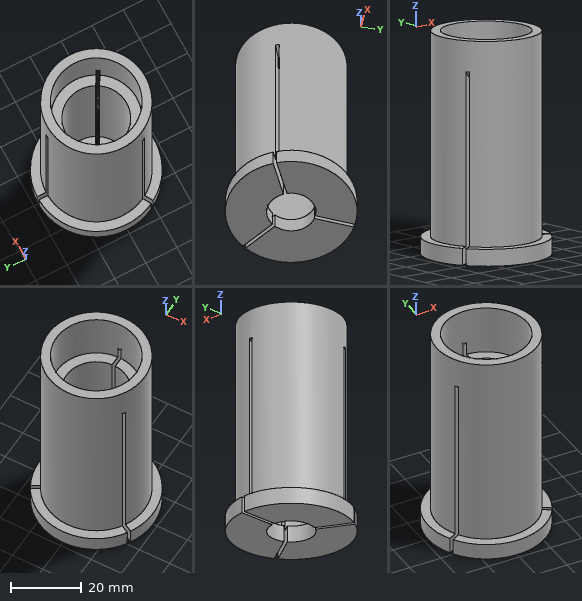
import cadquery as cq

total_height = 64.6
flange_diameter = 37.5
flange_height = 5.0
tube_diameter = 31.7

mouth_diameter = 26.0
mouth_depth = 15.0
middle_diameter = 19.5
bottom_diameter = 13.95
bottom_step_height = flange_height

slot_count = 3
slot_width = 1.05
slot_outer_height = 55.55
slot_inner_height = 53.35
first_slot_angle = 90.0


def cylinder(diameter, bottom, top):
    """Cylinder on the Z axis between two heights."""
    return cq.Workplane("XY").workplane(offset=bottom).circle(diameter / 2).extrude(top - bottom)


def radial_slot(angle):
    """Cutter running from the axis out past the flange, open below, with a top that falls inward."""
    tube_radius = tube_diameter / 2
    wall = (tube_diameter - mouth_diameter) / 2
    slope = (slot_outer_height - slot_inner_height) / wall
    height_at_axis = slot_outer_height - slope * tube_radius
    reach = flange_diameter
    profile = [
        (0, 0),
        (reach, 0),
        (reach, slot_outer_height),
        (tube_radius, slot_outer_height),
        (0, height_at_axis),
    ]
    cutter = cq.Workplane("XZ").polyline(profile).close().extrude(slot_width / 2, both=True)
    return cutter.rotate((0, 0, 0), (0, 0, 1), angle)


sleeve = cylinder(flange_diameter, 0, flange_height)
sleeve = sleeve.union(cylinder(tube_diameter, 0, total_height))

sleeve = sleeve.cut(cylinder(bottom_diameter, 0, total_height))
sleeve = sleeve.cut(cylinder(middle_diameter, bottom_step_height, total_height))
sleeve = sleeve.cut(cylinder(mouth_diameter, total_height - mouth_depth, total_height))

for index in range(slot_count):
    sleeve = sleeve.cut(radial_slot(first_slot_angle + index * 360 / slot_count))

result = sleeve